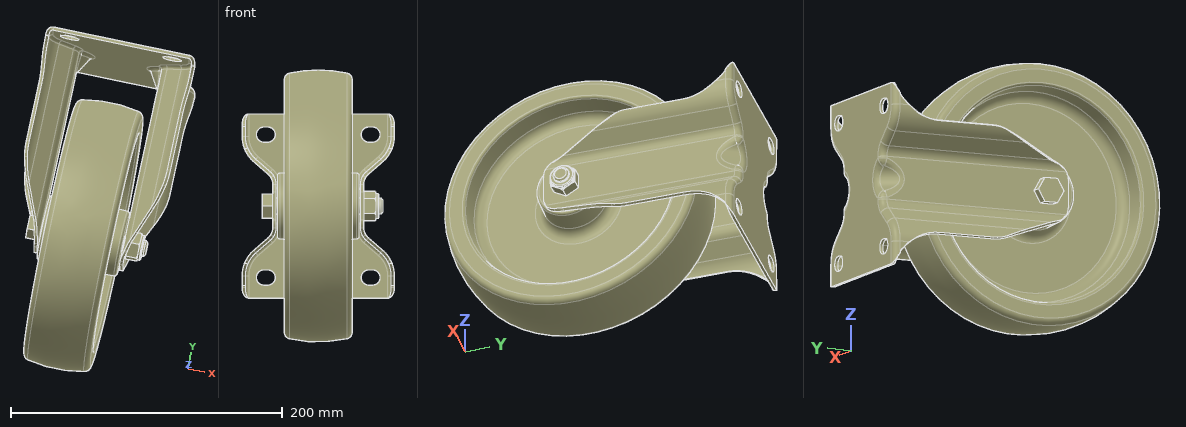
import cadquery as cq
import math


wheel_radius = 100.0
wheel_width = 50.0
tread_corner_radius = 5.0
rim_mouth_radius = 81.3
rim_root_radius = 77.5
rim_edge_radius = 2.0
rim_fillet = 8.0
web_thickness = 7.0
hub_end_radius = 24.2
hub_root_radius = 25.4
hub_length = 60.0
hub_edge_radius = 2.0
hub_fillet = 8.5

sheet = 2.5
mount_offset = 135.0
plate_width = 112.0
plate_height = 135.5
fork_gap = 62.0
flat_half_height = 16.0
flare_angle = math.radians(49.0)
inward_bend_radius = 9.6
outward_bend_radius = 24.7
back_bend_radius = 5.0
leg_tip = -17.5
leg_half_height = 42.7
leg_taper_angle = math.radians(20.0)
leg_tip_half_height = 19.3
leg_tip_radius = 13.0
leg_knee_radius = 34.0
neck_radius = 41.5
neck_end_half_height = 58.4
neck_end_depth = 5.5

gusset_radius = 15.0
gusset_depth_on_leg = 18.0
gusset_reach_on_plate = 9.2
gusset_foot_radius = 4.0

slot_spacing_x = 77.0
slot_spacing_z = 105.0
slot_length = 13.7
slot_height = 11.0

bolt_diameter = 12.0
bolt_end = 47.6
bolt_chamfer = 1.5
head_across_flats = 18.0
head_height = 7.7
nut_across_flats = 19.0
nut_hex_height = 8.8
nut_height = 11.2
nut_collar_radius = 9.3
nut_chamfer = 0.8

leg_inner = fork_gap / 2
leg_outer = leg_inner + sheet
plate_inner = mount_offset - sheet
SIDES = (-1, 1)

ring_margin = 0.1
knee_margin = 1.0


def x_cylinder(radius, start, end):
    return cq.Workplane("YZ").workplane(offset=start).circle(radius).extrude(end - start)


def round_circles(body, x, radius, fillet):
    """Round the circular edges of the given radius at x and at -x."""
    for side in SIDES:
        ring = cq.selectors.BoxSelector(
            (side * x - ring_margin, -radius - ring_margin, -radius - ring_margin),
            (side * x + ring_margin, radius + ring_margin, radius + ring_margin),
            boundingbox=True,
        )
        circles = body.edges("%CIRCLE").edges(ring).vals()
        outermost = max(circles, key=lambda edge: edge.radius())
        body = body.newObject([outermost]).fillet(fillet)
    return body


def make_wheel():
    """Revolved wheel with a spherical tread, dished sides and a long hub."""
    half_width = wheel_width / 2
    half_web = web_thickness / 2
    half_hub = hub_length / 2
    corner_x = half_width - tread_corner_radius
    corner_reach = wheel_radius - tread_corner_radius
    corner_r = math.sqrt(corner_reach**2 - corner_x**2)
    crown_x = corner_x * wheel_radius / corner_reach
    crown_r = corner_r * wheel_radius / corner_reach
    middle_angle = math.atan2(corner_r, corner_x) / 2
    corner_mid_x = corner_x + tread_corner_radius * math.cos(middle_angle)
    corner_mid_r = corner_r + tread_corner_radius * math.sin(middle_angle)
    wheel = (
        cq.Workplane("XZ")
        .moveTo(-half_hub, 0)
        .lineTo(-half_hub, hub_end_radius)
        .lineTo(-half_web, hub_root_radius)
        .lineTo(-half_web, rim_root_radius)
        .lineTo(-half_width, rim_mouth_radius)
        .lineTo(-half_width, corner_r)
        .threePointArc((-corner_mid_x, corner_mid_r), (-crown_x, crown_r))
        .threePointArc((0, wheel_radius), (crown_x, crown_r))
        .threePointArc((corner_mid_x, corner_mid_r), (half_width, corner_r))
        .lineTo(half_width, rim_mouth_radius)
        .lineTo(half_web, rim_root_radius)
        .lineTo(half_web, hub_root_radius)
        .lineTo(half_hub, hub_end_radius)
        .lineTo(half_hub, 0)
        .close()
        .revolve(360, (0, 0, 0), (1, 0, 0))
    )
    wheel = round_circles(wheel, half_web, rim_root_radius, rim_fillet)
    wheel = round_circles(wheel, half_web, hub_root_radius, hub_fillet)
    wheel = round_circles(wheel, half_width, rim_mouth_radius, rim_edge_radius)
    return round_circles(wheel, half_hub, hub_end_radius, hub_edge_radius)


def signed(point, signs):
    return (point[0] * signs[0], point[1] * signs[1])


def waisted_block(inset, half_height, back):
    """Block with the hourglass section of the fork, offset inwards by inset, reaching to y = back."""
    waist = leg_outer - inset
    full = plate_width / 2 - inset
    inward = inward_bend_radius + inset
    outward = outward_bend_radius - inset
    sin_flare, cos_flare = math.sin(flare_angle), math.cos(flare_angle)
    bend_offset = plate_width / 2 - leg_outer - (inward_bend_radius + outward_bend_radius) * (1 - cos_flare)
    flare_rise = bend_offset / math.tan(flare_angle)
    inward_z = flat_half_height
    outward_z = inward_z + (inward_bend_radius + outward_bend_radius) * sin_flare + flare_rise
    half_sin, half_cos = math.sin(flare_angle / 2), math.cos(flare_angle / 2)

    inward_mid = (waist + inward * (1 - half_cos), inward_z + inward * half_sin)
    inward_end = (waist + inward * (1 - cos_flare), inward_z + inward * sin_flare)
    outward_start = (full - outward * (1 - cos_flare), outward_z - outward * sin_flare)
    outward_mid = (full - outward * (1 - half_cos), outward_z - outward * half_sin)

    section = cq.Workplane("XZ").workplane(offset=-leg_tip).moveTo(-full, -half_height)
    for side in (1, -1):
        near, far = (side, -side), (side, side)
        section = (
            section.lineTo(*signed((full, half_height), near))
            .lineTo(*signed((full, outward_z), near))
            .threePointArc(signed(outward_mid, near), signed(outward_start, near))
            .lineTo(*signed(inward_end, near))
            .threePointArc(signed(inward_mid, near), signed((waist, inward_z), near))
            .lineTo(*signed((waist, inward_z), far))
            .threePointArc(signed(inward_mid, far), signed(inward_end, far))
            .lineTo(*signed(outward_start, far))
            .threePointArc(signed(outward_mid, far), signed((full, outward_z), far))
            .lineTo(*signed((full, half_height), far))
        )
    block = section.close().extrude(leg_tip - back)
    return block.faces(">Y").edges("not |X").fillet(back_bend_radius - inset)


def gusset_cylinder(side, radius):
    """Cylinder lying diagonally across the corner between one leg and the plate."""
    run_x, run_y = gusset_reach_on_plate, gusset_depth_on_leg - sheet
    length = math.hypot(run_x, run_y)
    along = (-side * run_x / length, run_y / length)
    outward = (side * run_y / length, run_x / length)
    middle = (
        side * (leg_inner - run_x / 2) + outward[0] * gusset_radius,
        plate_inner - run_y / 2 + outward[1] * gusset_radius,
    )
    start = cq.Vector(middle[0] - along[0] * 2 * length, middle[1] - along[1] * 2 * length, 0)
    return cq.Workplane(cq.Solid.makeCylinder(radius, 4 * length, start, cq.Vector(*along, 0)))


def blend_gussets(body, blend):
    """Round the curved edges where the gusset cylinders run into the plate and the legs."""
    corner_band = cq.selectors.BoxSelector(
        (-plate_width / 2, plate_inner - 2 * gusset_depth_on_leg, -gusset_radius),
        (plate_width / 2, mount_offset + sheet, gusset_radius),
    )
    return body.edges("not %LINE").edges(corner_band).fillet(blend)


def make_leg_trim():
    """Outline of the fork seen along X, run across its full width."""
    taper = math.tan(leg_taper_angle)
    knee_y = leg_tip + (leg_half_height - leg_tip_half_height) / taper
    neck_end_y = mount_offset - neck_end_depth
    neck_rise = neck_end_half_height - leg_half_height
    neck_run = math.sqrt(2 * neck_radius * neck_rise - neck_rise**2)
    neck_y = neck_end_y - neck_run
    half_neck = math.asin(neck_run / neck_radius) / 2
    neck_mid = (
        neck_y + neck_radius * math.sin(half_neck),
        leg_half_height + neck_radius * (1 - math.cos(half_neck)),
    )
    half_plate = plate_height / 2
    outline = (
        cq.Workplane("YZ").workplane(offset=-plate_width / 2)
        .moveTo(leg_tip, -leg_tip_half_height)
        .lineTo(knee_y, -leg_half_height)
        .lineTo(neck_y, -leg_half_height)
        .threePointArc((neck_mid[0], -neck_mid[1]), (neck_end_y, -neck_end_half_height))
        .lineTo(plate_inner, -half_plate)
        .lineTo(mount_offset, -half_plate)
        .lineTo(mount_offset, half_plate)
        .lineTo(plate_inner, half_plate)
        .lineTo(neck_end_y, neck_end_half_height)
        .threePointArc(neck_mid, (neck_y, leg_half_height))
        .lineTo(knee_y, leg_half_height)
        .lineTo(leg_tip, leg_tip_half_height)
        .close()
    )
    trim = outline.extrude(plate_width)
    trim = trim.edges("|X").edges("<Y").fillet(leg_tip_radius)
    knees = cq.selectors.BoxSelector(
        (-plate_width, knee_y - knee_margin, -plate_height),
        (plate_width, knee_y + knee_margin, plate_height),
    )
    return trim.edges("|X").edges(knees).fillet(leg_knee_radius)


def gusset_blobs(block, radius, blend):
    """Material of the block that the two gussets of the given radius take up."""
    relieved = block
    for side in SIDES:
        relieved = relieved.cut(gusset_cylinder(side, radius))
    return block.cut(blend_gussets(relieved, blend))


def make_fork():
    """Inner skin of the fork trimmed to its outline and thickened outwards, so sheet edges stay square."""
    cavity = waisted_block(sheet, plate_height, plate_inner)
    outside = waisted_block(0, plate_height, mount_offset)
    skin = cavity.faces("not (|Z or <Y)").vals()
    trim = make_leg_trim().val()
    trimmed = [piece for face in skin for piece in face.intersect(trim).Faces()]
    fork = cq.Workplane(cq.occ_impl.shapes.offset(cq.Shell.makeShell(trimmed), sheet, cap=True))
    fork = fork.union(gusset_blobs(cavity, gusset_radius, gusset_foot_radius))
    fork = fork.cut(gusset_blobs(outside, gusset_radius - sheet, gusset_foot_radius + sheet))
    slots = (
        cq.Workplane("XZ").workplane(offset=-mount_offset)
        .rect(slot_spacing_x, slot_spacing_z, forConstruction=True)
        .vertices()
        .slot2D(slot_length, slot_height)
        .extrude(2 * sheet)
    )
    return fork.cut(slots)


def across_corners(across_flats):
    return across_flats / math.cos(math.pi / 6)


def make_axle():
    """Bolt through both legs, hex head at -X and lock nut with a round collar at +X."""
    shank = x_cylinder(bolt_diameter / 2, -leg_outer, bolt_end).faces(">X").chamfer(bolt_chamfer)
    head = (
        cq.Workplane("YZ").workplane(offset=-leg_outer)
        .polygon(6, across_corners(head_across_flats))
        .extrude(-head_height)
    )
    nut = (
        cq.Workplane("YZ").workplane(offset=leg_outer)
        .transformed(rotate=(0, 0, 90))
        .polygon(6, across_corners(nut_across_flats))
        .extrude(nut_hex_height)
    )
    nut_blank = x_cylinder(across_corners(nut_across_flats) / 2, leg_outer, leg_outer + nut_hex_height)
    nut = nut.intersect(nut_blank.faces(">X").chamfer(nut_chamfer))
    collar = x_cylinder(nut_collar_radius, leg_outer, leg_outer + nut_height)
    collar = collar.faces(">X").chamfer(nut_chamfer)
    return shank.union(head).union(nut).union(collar)


result = make_wheel().union(make_fork()).union(make_axle())